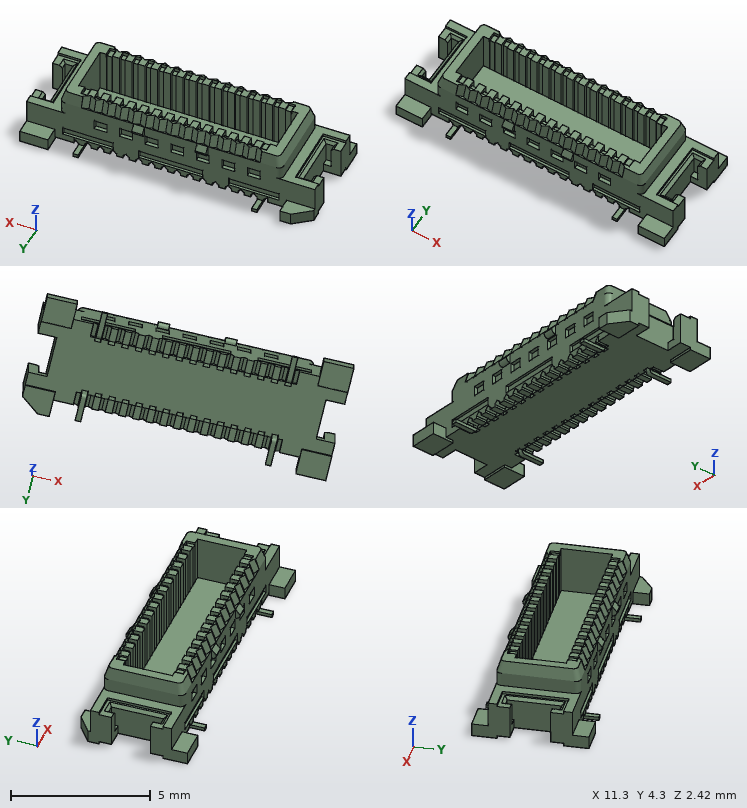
import cadquery as cq
length = 11.3
housing_width = 3.1
overall_width = 4.3
height = 2.42
half_length = length / 2
half_width = housing_width / 2

pitch = 0.501
groove_count = 15
rib_count = groove_count - 1
end_groove_x = pitch * (groove_count - 1) / 2

base_bottom = 0.14
base_top = 1.47
taper_start = 1.98
floor_top = 0.67

tower_length = 8.7
tower_inset = 0.14
tower_corner_radius = 0.2
tower_top_radius = 0.17

cavity_length = 7.75
cavity_width = 1.88
cavity_half_width = cavity_width / 2
groove_width = 0.23
groove_back = 1.28
end_groove_clearance = 0.02
groove_step_z = 2.27
slot_back = 1.06

notch_depth = 0.12
notch_slope_run = 0.17
notch_margin = 0.23

window_depth = 0.15
slot_depth = 0.1
window_count = 7
window_width = 0.5
window_bottom = 1.15
window_top = 1.54
slot_bottom = 0.41
slot_top = 0.71
middle_slot_half = 1.25
outer_slot_start = 2.26
outer_slot_end = 4.24
bottom_notch_half = 0.12
bottom_notch_top = 0.35
end_notch_x = 3.8
end_notch_width = 0.16

recess_half_width = 1.22
recess_floor = 1.37
recess_inner_x = 4.75
mouth_half_width = 0.75
pocket_inner_x = 4.96
pocket_outer_x = 5.27
pocket_half_width = 1.0
pocket_floor = 0.47
pocket_lip_inner = 0.14
pocket_lip = 0.11
pocket_lip_depth = 0.1

foot_length = 1.11
foot_bottom = 0.03
foot_top = 0.52
marker_length = 0.68
marker_width = 0.51

bump_x = 1.24
bump_width = 0.42
bump_reach = 0.18
bump_top = taper_start
bump_crest = 1.76

contact_width = 0.2
leg_end = 2.07
leg_thickness = base_bottom
post_back = 1.23
contact_top = 2.36


def box(x0, x1, y0, y1, z0, z1):
    """Axis-aligned block between two opposite corners."""
    return cq.Workplane("XY").box(x1 - x0, y1 - y0, z1 - z0, centered=False).translate((x0, y0, z0))


def on_both_sides(shape):
    """A shape on the -Y side together with its mirror image on the +Y side."""
    return [shape, shape.mirror("XZ")]


def at_both_ends(shape):
    """A shape at the -X end together with its mirror image at the +X end."""
    return [shape, shape.mirror("YZ")]


def rounded_block_loft(low_size, low_radius, top_size, top_radius, z0, z1):
    """Ruled loft between two rectangles with rounded corners."""
    low = cq.Sketch().rect(*low_size).vertices().fillet(low_radius)
    top = cq.Sketch().rect(*top_size).vertices().fillet(top_radius)
    lift = cq.Location(cq.Vector(0, 0, z1 - z0))
    return cq.Workplane("XY", origin=(0, 0, z0)).placeSketch(low, top.moved(lift)).loft(ruled=True)


def make_tower():
    """Straight rim with rounded corners, topped by a tapered lead-in."""
    low_size = (tower_length, housing_width)
    top_size = (tower_length - 2 * tower_inset, housing_width - 2 * tower_inset)
    straight = (
        cq.Workplane("XY", origin=(0, 0, base_top))
        .rect(*low_size)
        .extrude(taper_start - base_top)
        .edges("|Z")
        .fillet(tower_corner_radius)
    )
    lead_in = rounded_block_loft(
        low_size, tower_corner_radius, top_size, tower_top_radius, taper_start, height
    )
    return straight.union(lead_in)


def make_foot():
    """Corner foot at -X, -Y, reaching under the wing."""
    outer_y = overall_width / 2
    return box(
        -half_length, -half_length + foot_length, -outer_y, -recess_half_width, foot_bottom, foot_top
    )


def orientation_marker():
    """Corner cut off the foot at -X, +Y."""
    outer_y = overall_width / 2
    return (
        cq.Workplane("XY", origin=(0, 0, foot_bottom))
        .moveTo(-half_length, outer_y)
        .lineTo(-half_length + marker_length, outer_y)
        .lineTo(-half_length, outer_y - marker_width)
        .close()
        .extrude(foot_top - foot_bottom)
    )


def wing_cut():
    """T-shaped fitting pocket at the -X end: top recess, open mouth, pocket and chamfered lip."""
    recess = box(
        -half_length, -recess_inner_x, -recess_half_width, recess_half_width, recess_floor, base_top
    )
    mouth = box(
        -half_length, -pocket_inner_x, -mouth_half_width, mouth_half_width, base_bottom, recess_floor
    )
    pocket = box(
        -pocket_outer_x, -pocket_inner_x, -pocket_half_width, pocket_half_width, pocket_floor, recess_floor
    )
    lip_bottom = recess_floor - pocket_lip_depth
    lip_length = pocket_outer_x - pocket_inner_x
    lip_shift = (pocket_lip_inner - pocket_lip) / 2
    lip = (
        cq.Workplane("XY", origin=(-(pocket_outer_x + pocket_inner_x) / 2, 0, lip_bottom))
        .rect(lip_length, 2 * pocket_half_width)
        .workplane(offset=pocket_lip_depth)
        .center(lip_shift, 0)
        .rect(lip_length + pocket_lip + pocket_lip_inner, 2 * (pocket_half_width + pocket_lip))
        .loft(ruled=True)
    )
    return recess.union(mouth).union(pocket).union(lip)


def rib_x(index):
    return (index - (rib_count - 1) / 2) * pitch


def groove_x(index):
    return (index - (groove_count - 1) / 2) * pitch


def rim_notches():
    """Row of touching V notches on the -Y side, one on each rib, cut along a line leaning inwards."""
    rise = height - taper_start
    leaning_plane = cq.Plane(
        origin=(0, -half_width, taper_start), xDir=(1, 0, 0), normal=(0, notch_slope_run, rise)
    )
    points = [(groove_x(0), 0)]
    for index in range(rib_count):
        points.append((rib_x(index), notch_depth))
        points.append((groove_x(index + 1), 0))
    points.append((end_groove_x, -notch_margin))
    points.append((-end_groove_x, -notch_margin))
    return cq.Workplane(leaning_plane).polyline(points).close().extrude(2 * rise)


def groove_cuts():
    """Slots through the full height of the -Y cavity wall, each deepened at the rim."""
    cuts = []
    for index in range(groove_count):
        x = groove_x(index)
        left = x - groove_width / 2
        right = x + groove_width / 2
        cuts.append(box(left, right, -slot_back, -cavity_half_width, base_bottom, height))
        if index == 0:
            left -= end_groove_clearance
        if index == groove_count - 1:
            right += end_groove_clearance
        cuts.append(box(left, right, -groove_back, -cavity_half_width, groove_step_z, height))
    return cuts


def wall_recesses():
    """Windows and long slots sunk into the outside of the -Y wall."""
    window_back = -half_width + window_depth
    slot_back_y = -half_width + slot_depth
    cuts = []
    for index in range(window_count):
        x = rib_x(2 * index)
        left = x - window_width / 2
        cuts.append(box(left, left + window_width, -half_width, window_back, window_bottom, window_top))
    slot_spans = [
        (-outer_slot_end, -outer_slot_start),
        (-middle_slot_half, middle_slot_half),
        (outer_slot_start, outer_slot_end),
    ]
    for left, right in slot_spans:
        cuts.append(box(left, right, -half_width, slot_back_y, slot_bottom, slot_top))
    return cuts


def bottom_notches():
    """Gabled notches in the bottom of the -Y wall, and a half notch beyond each end contact."""
    gable = bottom_notch_half
    depth = half_width - slot_back
    section = cq.Workplane("XZ", origin=(0, -slot_back, 0))
    eaves = bottom_notch_top - gable
    cuts = []
    for index in range(rib_count):
        x = rib_x(index)
        outline = [
            (x - gable, base_bottom),
            (x - gable, eaves),
            (x, bottom_notch_top),
            (x + gable, eaves),
            (x + gable, base_bottom),
        ]
        cuts.append(section.polyline(outline).close().extrude(depth))
    half_outline = [
        (-end_notch_x, base_bottom),
        (-end_notch_x, bottom_notch_top),
        (-end_notch_x + end_notch_width, bottom_notch_top - end_notch_width),
        (-end_notch_x + end_notch_width, base_bottom),
    ]
    cuts.extend(at_both_ends(section.polyline(half_outline).close().extrude(depth)))
    return cuts


def post_slot():
    """Slot behind the end groove for the post of the contact at -X, -Y."""
    left = -end_groove_x - contact_width / 2
    return box(left, left + contact_width, -post_back, -slot_back, base_bottom, height)


def make_housing():
    body = box(-half_length, half_length, -half_width, half_width, base_bottom, base_top)
    body = body.union(make_tower())
    for end_foot in at_both_ends(make_foot()):
        for foot in on_both_sides(end_foot):
            body = body.union(foot)
    body = body.cut(orientation_marker())
    for cut in at_both_ends(wing_cut()):
        body = body.cut(cut)
    half_cavity = cavity_length / 2
    body = body.cut(
        box(-half_cavity, half_cavity, -cavity_half_width, cavity_half_width, floor_top, height)
    )
    side_cuts = [rim_notches(), *groove_cuts(), *wall_recesses(), *bottom_notches()]
    side_cuts.extend(at_both_ends(post_slot()))
    cutters = []
    for side_cut in side_cuts:
        for cut in on_both_sides(side_cut):
            cutters.append(cut.val())
    return cq.Workplane(body.val().cut(*cutters))


def make_bump():
    """Latch bump standing on the -Y wall at -X: sloped lead-in, rounded underside."""
    crest_y = -half_width - bump_reach
    return (
        cq.Workplane("YZ", origin=(-bump_x - bump_width / 2, 0, 0))
        .moveTo(-half_width, bump_top)
        .lineTo(crest_y, bump_crest)
        .radiusArc((-half_width, bump_crest - bump_reach), -bump_reach)
        .close()
        .extrude(bump_width)
    )


def make_contact():
    """Contact at -X, -Y: leg under the housing, rounded bend, post, and wide blade in the groove."""
    bend_radius = leg_thickness
    return (
        cq.Workplane("YZ", origin=(-end_groove_x - contact_width / 2, 0, 0))
        .moveTo(-leg_end, 0)
        .lineTo(-slot_back - bend_radius, 0)
        .radiusArc((-slot_back, bend_radius), -bend_radius)
        .lineTo(-slot_back, floor_top)
        .lineTo(-cavity_half_width, floor_top)
        .lineTo(-cavity_half_width, contact_top)
        .lineTo(-post_back, contact_top)
        .lineTo(-post_back, leg_thickness)
        .lineTo(-leg_end, leg_thickness)
        .close()
        .extrude(contact_width)
    )


def four_copies(shape):
    """Solids of a -X, -Y shape and its mirror images in the other three corners."""
    solids = []
    for end_copy in at_both_ends(shape):
        for copy in on_both_sides(end_copy):
            solids.append(copy.val())
    return solids


housing = make_housing()
contacts = four_copies(make_contact())
bumps = four_copies(make_bump())

result = cq.Compound.makeCompound([housing.val(), *contacts, *bumps])